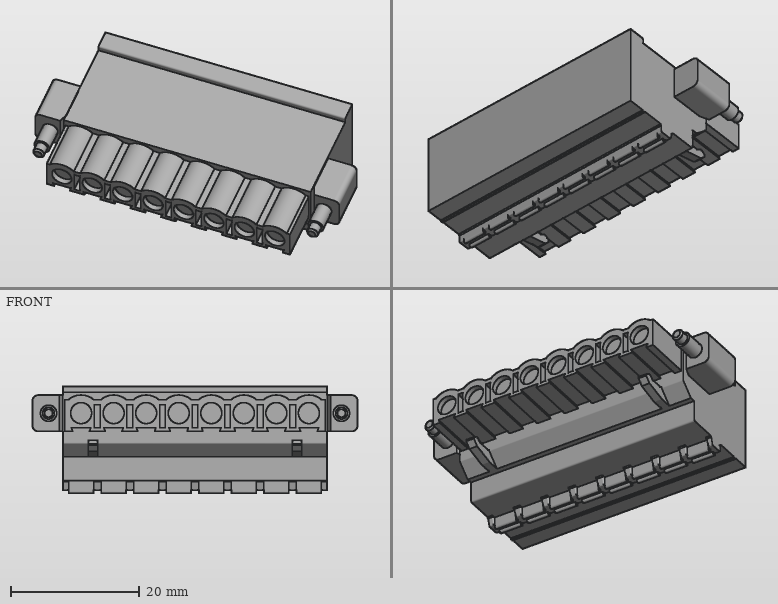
import cadquery as cq
import math


POLE_COUNT = 8
PITCH = 5.08
POLE_ROW = POLE_COUNT * PITCH
POLE_CENTRES = [(i - (POLE_COUNT - 1) / 2) * PITCH for i in range(POLE_COUNT)]
GAP_CENTRES = [x + PITCH / 2 for x in POLE_CENTRES[:-1]]

END_WALL = 0.3
HOUSING_WIDTH = POLE_ROW + 2 * END_WALL
OVERALL_HEIGHT = 16.71
HOUSING_DEPTH = 18.3
HOUSING_HEIGHT = 13.8
LEDGE_Z = 3.73
LEDGE_DEPTH = 3.25
UNDERCUT_DEPTH = 2.3
UNDERCUT_HEIGHT = 2.09
RIM_DEPTH = 3.1
RIM_HEIGHT = 0.93
EDGE_ROUND = 0.3

BEAD_Y = 15.1
BEAD_WIDTH = 0.5
BEAD_HEIGHT = 0.15

NOSE_LENGTH = 8.3
NOSE_BOTTOM_Z = 7.68
NOSE_HEIGHT = 5.7
ARCH_RADIUS = 3.0
ARCH_RISE = 0.77
CONTACT_Z = 10.55
CONTACT_RADIUS = 1.64
CONTACT_DEPTH = 1.0
SLOT_WIDTH = 0.92
SLOT_BOTTOM_Z = 8.3
SLOT_TOP_Z = 11.83
KEYWAY_MOUTH = 2.6
KEYWAY_ROOT = 3.05

OVERALL_WIDTH = 50.8
FLANGE_DEPTH = 7.7
FLANGE_ROUND = 0.95
RELIEF_WIDTH = 0.6
RELIEF_DEPTH = 1.6
SCREW_OFFSET = 22.86
SCREW_Z = NOSE_BOTTOM_Z + NOSE_HEIGHT / 2
SHANK_RADIUS = 1.27
SHANK_LENGTH = 3.7
TIP_RADIUS = 0.92
TIP_LENGTH = 1.7
TIP_CHAMFER = 0.3

LATCH_OFFSET = 15.92
LATCH_WIDTH = 1.43
LATCH_TOP_Z = 5.8
LATCH_ROOT_BEVEL = 0.25
LATCH_HEEL_Y = 0.1
LATCH_HOOK_START_Y = -2.6
LATCH_CREST_BACK_Y = -3.3
LATCH_CREST_FRONT_Y = -3.7
LATCH_CREST_Z = 6.33
LATCH_TIP_Y = -4.45
LATCH_TIP_Z = 5.5
LATCH_CHIN_Y = -3.5
LATCH_CHIN_Z = 4.6

RAIL_BACK_Y = 10.8
RAIL_HEIGHT = 1.5
RAIL_ROUND = 0.2
TOOTH_WIDTH = 3.9
TOOTH_FRONT_Y = 8.76
RIB_WIDTH = PITCH - TOOTH_WIDTH
RIB_FRONT_Y = 8.2
RIB_TAPER = 0.4
RIB_ROUND = 0.2
RIB_ROOT_DEPTH = 0.5
RIB_ROOT_Y = TOOTH_FRONT_Y + RIB_ROOT_DEPTH
PAD_DEPTH = 0.68
PAD_BOTTOM_Z = HOUSING_HEIGHT + RIM_HEIGHT - OVERALL_HEIGHT
PAD_ROUND = 0.3


def box(x0, x1, y0, y1, z0, z1):
    """Box between two opposite corners."""
    return cq.Workplane("XY").box(x1 - x0, y1 - y0, z1 - z0, centered=False).translate((x0, y0, z0))


def side_prism(points, width, centre_x=0):
    """Extrude a closed (y, z) outline along X, centred on centre_x."""
    outline = cq.Workplane("YZ", origin=(centre_x - width / 2, 0, 0)).polyline(points).close()
    return outline.extrude(width)


def forward_cylinder(x, z, y_start, radius, length):
    """Cylinder running from y_start towards -Y."""
    return cq.Workplane("XZ", origin=(x, y_start, z)).circle(radius).extrude(length)


def make_housing():
    top_z = HOUSING_HEIGHT + RIM_HEIGHT
    rim_y = HOUSING_DEPTH - RIM_DEPTH
    housing = side_prism(
        [
            (HOUSING_DEPTH, 0),
            (LEDGE_DEPTH, 0),
            (LEDGE_DEPTH, LEDGE_Z),
            (UNDERCUT_DEPTH, LEDGE_Z),
            (0, LEDGE_Z + UNDERCUT_HEIGHT),
            (0, HOUSING_HEIGHT),
            (rim_y, HOUSING_HEIGHT),
            (rim_y, top_z),
            (HOUSING_DEPTH, top_z),
        ],
        HOUSING_WIDTH,
    )
    rounded_edges = [(rim_y, top_z), (LEDGE_DEPTH, 0), (0, LEDGE_Z + UNDERCUT_HEIGHT)]
    for y, z in rounded_edges:
        housing = housing.edges(cq.selectors.NearestToPointSelector((0, y, z))).fillet(EDGE_ROUND)
    half = HOUSING_WIDTH / 2
    bead_half = BEAD_WIDTH / 2
    bead = box(-half, half, BEAD_Y - bead_half, BEAD_Y + bead_half, -BEAD_HEIGHT, EDGE_ROUND)
    return housing.union(bead)


def make_nose():
    half_row = POLE_ROW / 2
    crest_z = NOSE_BOTTOM_Z + NOSE_HEIGHT
    valley_z = crest_z - ARCH_RISE
    arch_half_width = math.sqrt(ARCH_RADIUS**2 - (ARCH_RADIUS - ARCH_RISE) ** 2)
    outline = cq.Workplane("XZ").moveTo(-half_row, NOSE_BOTTOM_Z).lineTo(-half_row, valley_z)
    for x in POLE_CENTRES:
        outline = outline.lineTo(x - arch_half_width, valley_z)
        outline = outline.threePointArc((x, crest_z), (x + arch_half_width, valley_z))
    outline = outline.lineTo(half_row, valley_z).lineTo(half_row, NOSE_BOTTOM_Z).close()
    nose = outline.extrude(NOSE_LENGTH)
    for x in POLE_CENTRES:
        contact_start = CONTACT_DEPTH - NOSE_LENGTH
        nose = nose.cut(forward_cylinder(x, CONTACT_Z, contact_start, CONTACT_RADIUS, CONTACT_DEPTH))
        nose = nose.cut(make_keyway(x))
    for x in GAP_CENTRES:
        x0 = x - SLOT_WIDTH / 2
        nose = nose.cut(box(x0, x0 + SLOT_WIDTH, -NOSE_LENGTH, 0, SLOT_BOTTOM_Z, SLOT_TOP_Z))
    return nose


def make_keyway(x):
    """Dovetail groove along the underside of one pole."""
    mouth = KEYWAY_MOUTH / 2
    root = KEYWAY_ROOT / 2
    corners = [
        (x - mouth, NOSE_BOTTOM_Z),
        (x - root, SLOT_BOTTOM_Z),
        (x + root, SLOT_BOTTOM_Z),
        (x + mouth, NOSE_BOTTOM_Z),
    ]
    return cq.Workplane("XZ").polyline(corners).close().extrude(NOSE_LENGTH)


def make_left_flange():
    outer_x = -OVERALL_WIDTH / 2
    inner_x = -HOUSING_WIDTH / 2
    flange = box(outer_x, inner_x, 0, FLANGE_DEPTH, NOSE_BOTTOM_Z, NOSE_BOTTOM_Z + NOSE_HEIGHT)
    flange = flange.edges("|Y and <X").fillet(FLANGE_ROUND)
    relief = (
        cq.Workplane("XY", origin=(0, 0, NOSE_BOTTOM_Z))
        .polyline([(inner_x - RELIEF_WIDTH, 0), (inner_x, 0), (inner_x, RELIEF_DEPTH)])
        .close()
        .extrude(NOSE_HEIGHT)
    )
    shank = forward_cylinder(-SCREW_OFFSET, SCREW_Z, 0, SHANK_RADIUS, SHANK_LENGTH)
    tip = forward_cylinder(-SCREW_OFFSET, SCREW_Z, -SHANK_LENGTH, TIP_RADIUS, TIP_LENGTH)
    tip = tip.faces("<Y").chamfer(TIP_CHAMFER)
    return flange.cut(relief).union(shank).union(tip)


def make_latch(centre_x):
    root_z = LATCH_TOP_Z + LATCH_ROOT_BEVEL
    outline = [
        (UNDERCUT_DEPTH, LEDGE_Z),
        (LATCH_HEEL_Y, LEDGE_Z),
        (LATCH_CHIN_Y, LATCH_CHIN_Z),
        (LATCH_TIP_Y, LATCH_TIP_Z),
        (LATCH_TIP_Y, LATCH_TOP_Z),
        (LATCH_CREST_FRONT_Y, LATCH_CREST_Z),
        (LATCH_CREST_BACK_Y, LATCH_CREST_Z),
        (LATCH_HOOK_START_Y, LATCH_TOP_Z),
        (-LATCH_ROOT_BEVEL, LATCH_TOP_Z),
        (0, root_z),
        (UNDERCUT_DEPTH, root_z),
    ]
    return side_prism(outline, LATCH_WIDTH, centre_x)


def make_cove(y, direction, width, centre_x):
    """Concave strip blending a rail wall at y into the housing underside."""
    cove = (
        cq.Workplane("YZ", origin=(centre_x - width / 2, 0, 0))
        .moveTo(y, 0)
        .lineTo(y + direction * RAIL_ROUND, 0)
        .radiusArc((y, -RAIL_ROUND), direction * RAIL_ROUND)
        .close()
    )
    return cove.extrude(width)


def make_rib(x):
    """Tapered rib on the front of the rail, between two teeth."""
    outline = [
        (RIB_ROOT_Y, 0),
        (RIB_ROOT_Y, -RAIL_HEIGHT),
        (RIB_FRONT_Y + RIB_TAPER, -RAIL_HEIGHT),
        (RIB_FRONT_Y, 0),
    ]
    rib = side_prism(outline, RIB_WIDTH, x)
    rib = rib.faces("<Y").edges("not >Z").fillet(RIB_ROUND)
    cove_y = RIB_FRONT_Y + RIB_TAPER * RAIL_ROUND / RAIL_HEIGHT
    return rib.union(make_cove(cove_y, -1, RIB_WIDTH, x))


def make_rail():
    half = HOUSING_WIDTH / 2
    rail = box(-half, half, TOOTH_FRONT_Y, RAIL_BACK_Y, -RAIL_HEIGHT, 0)
    rail = rail.edges("|X and <Z and >Y").fillet(RAIL_ROUND)
    rail = rail.union(make_cove(RAIL_BACK_Y, 1, HOUSING_WIDTH, 0))
    housing_span = box(-half, half, 0, RAIL_BACK_Y, PAD_BOTTOM_Z, 0)
    for i in range(POLE_COUNT + 1):
        rail = rail.union(make_rib(i * PITCH - POLE_ROW / 2).intersect(housing_span))
    for x in POLE_CENTRES:
        x0 = x - TOOTH_WIDTH / 2
        for y in (TOOTH_FRONT_Y, RAIL_BACK_Y - PAD_DEPTH):
            pad = box(x0, x0 + TOOTH_WIDTH, y, y + PAD_DEPTH, PAD_BOTTOM_Z, -RAIL_HEIGHT / 2)
            rail = rail.union(pad.edges("|X and <Z").fillet(PAD_ROUND))
    return rail


left_flange = make_left_flange()
result = make_housing().union(make_nose()).union(left_flange).union(left_flange.mirror("YZ"))
for side in (-1, 1):
    result = result.union(make_latch(side * LATCH_OFFSET))
result = result.union(make_rail())